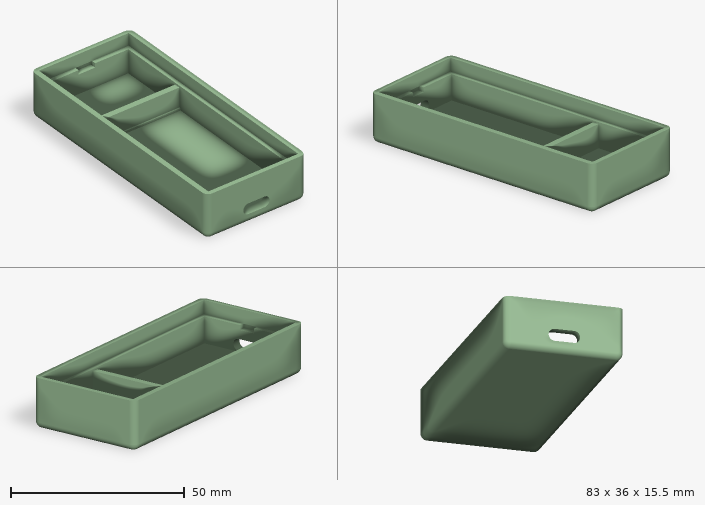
import cadquery as cq

length = 83.0
width = 36.0
height = 15.5
edge_radius = 2.0

recess_length = 80.0
recess_width = 32.5
recess_depth = 4.3

cavity_length = 77.0
cavity_width = 30.0
floor_thickness = 3.0

partition_offset = 25.15
partition_thickness = 2.0
partition_drop = 0.6
step_width = 0.5
step_height = 0.8

notch_undercut = 0.5
notch_depth = 1.5
left_notch_width = 6.0
right_notch_width = 5.0

port_width = 9.5
port_height = 3.65
port_sill = 0.25

ledge_height = height - recess_depth
partition_top = ledge_height - partition_drop
end_ledge_width = (recess_length - cavity_length) / 2
notch_length = end_ledge_width + notch_undercut
notch_center = (cavity_length + notch_length) / 2


def block(size_x, size_y, bottom, top, center_x=0.0):
    """Box centred on Y, spanning bottom to top in Z."""
    return (
        cq.Workplane("XY", origin=(center_x, 0, bottom))
        .rect(size_x, size_y)
        .extrude(top - bottom)
    )


def outer_body():
    body = block(length, width, 0, height)
    return body.edges("|Z").fillet(edge_radius).faces("<Z").edges().fillet(edge_radius)


def partition():
    left = partition_offset - length / 2
    base_width = partition_thickness + step_width
    wall = block(
        partition_thickness, cavity_width, floor_thickness, partition_top,
        left + partition_thickness / 2,
    )
    step = block(
        base_width, cavity_width, floor_thickness, floor_thickness + step_height,
        left + base_width / 2,
    )
    return wall.union(step)


def ledge_notch(notch_width, side):
    return block(
        notch_length, notch_width, ledge_height - notch_depth, ledge_height,
        side * notch_center,
    )


def port():
    wall_thickness = (length - cavity_length) / 2
    port_center = floor_thickness + port_sill + port_height / 2
    return (
        cq.Workplane("YZ", origin=(cavity_length / 2, 0, port_center))
        .slot2D(port_width, port_height)
        .extrude(wall_thickness)
    )


recess = block(recess_length, recess_width, ledge_height, height)
cavity = block(cavity_length, cavity_width, floor_thickness, ledge_height)

result = outer_body().cut(recess).cut(cavity).union(partition())
result = result.cut(ledge_notch(left_notch_width, -1))
result = result.cut(ledge_notch(right_notch_width, 1))
result = result.cut(port())